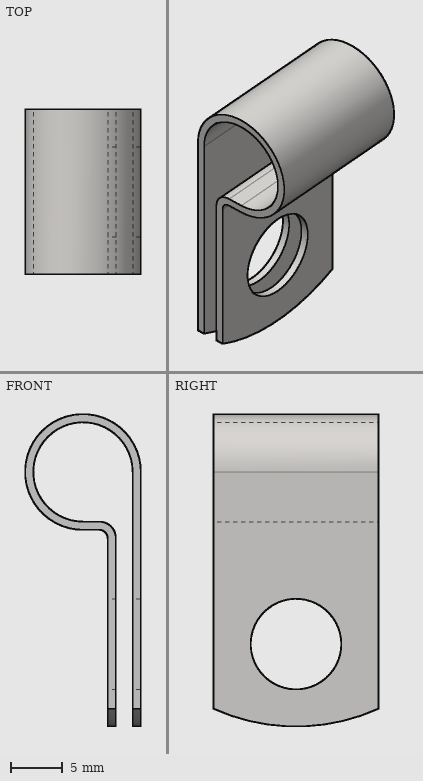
import cadquery as cq
import math

height = 30.1
width = 15.9
loop_diameter = 11.15
thickness = 0.8
leg_gap = 1.6
bend_radius = 1.6
hole_diameter = 8.7
hole_height = 7.95
tip_rise = 1.72

outer_radius = loop_diameter / 2
inner_radius = outer_radius - thickness
loop_z = height - outer_radius
loop_bottom = loop_z - outer_radius
loop_floor = loop_z - inner_radius

leg_right = inner_radius - leg_gap
leg_left = leg_right - thickness
bend_x = leg_right - bend_radius
bend_z = loop_floor - bend_radius
bend_inner_radius = bend_radius - thickness
diagonal = math.sqrt(0.5)


def make_strip():
    """Bent strip: long straight leg, loop, bend and short leg."""
    profile = (
        cq.Workplane("XZ")
        .moveTo(outer_radius, 0)
        .lineTo(outer_radius, loop_z)
        .threePointArc((-outer_radius * diagonal, loop_z + outer_radius * diagonal), (0, loop_bottom))
        .lineTo(bend_x, loop_bottom)
        .threePointArc(
            (bend_x + bend_inner_radius * diagonal, bend_z + bend_inner_radius * diagonal),
            (leg_left, bend_z),
        )
        .lineTo(leg_left, 0)
        .lineTo(leg_right, 0)
        .lineTo(leg_right, bend_z)
        .threePointArc(
            (bend_x + bend_radius * diagonal, bend_z + bend_radius * diagonal),
            (bend_x, loop_floor),
        )
        .lineTo(0, loop_floor)
        .threePointArc((-inner_radius * diagonal, loop_z + inner_radius * diagonal), (inner_radius, loop_z))
        .lineTo(inner_radius, 0)
        .close()
    )
    return profile.extrude(width / 2, both=True)


def make_side_outline():
    """Block whose lower edge is the rounded tip shared by both legs."""
    return (
        cq.Workplane("YZ")
        .moveTo(-width / 2, height)
        .lineTo(-width / 2, tip_rise)
        .threePointArc((0, 0), (width / 2, tip_rise))
        .lineTo(width / 2, height)
        .close()
        .extrude(loop_diameter, both=True)
    )


def make_hole():
    """Bolt hole through both legs."""
    return (
        cq.Workplane("YZ")
        .center(0, hole_height)
        .circle(hole_diameter / 2)
        .extrude(loop_diameter, both=True)
    )


result = make_strip().intersect(make_side_outline()).cut(make_hole())